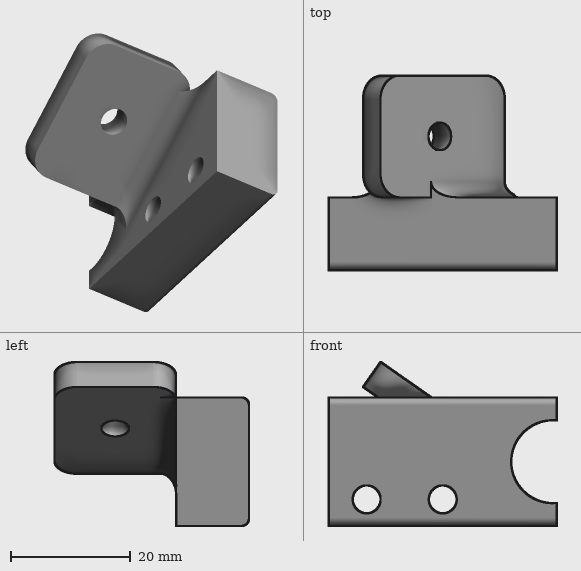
import cadquery as cq
import math

block_length = 38.1
block_depth = 12.2
block_height = 21.5
front_edge_radius = 1.35

hole_diameter = 4.6
hole_height = 4.45
hole_positions = (6.35, 19.05)
notch_radius = 6.9
notch_center_x = 37.38

total_depth = 32.5
total_height = 27.4
plate_width = total_depth - block_depth
plate_angle = 35.0
plate_length = 25.3
plate_thickness = 5.1
plate_corner_radius = 3.85
plate_top_x = 8.7
plate_hole_distance = 12.08
root_radius = 2.5

slope = math.radians(plate_angle)
plate_plane = cq.Plane(
    origin=(plate_top_x, block_depth, total_height),
    xDir=(math.cos(slope), 0, -math.sin(slope)),
    normal=(math.sin(slope), 0, math.cos(slope)),
)


def box(length, depth, height):
    return cq.Workplane("XY").box(length, depth, height, centered=False)


def make_block():
    return box(block_length, block_depth, block_height).edges("|X and <Y").fillet(front_edge_radius)


def make_plate_blank():
    return (
        cq.Workplane(plate_plane)
        .rect(plate_length, plate_width, centered=False)
        .extrude(-plate_thickness)
    )


def make_plate():
    """Round every corner except the lower one that joins the block."""
    middle = (plate_length / 2, plate_width / 2)
    rounded = (
        cq.Workplane(plate_plane)
        .center(*middle)
        .rect(plate_length, plate_width)
        .extrude(-plate_thickness)
        .edges(cq.selectors.ParallelDirSelector(plate_plane.zDir))
        .fillet(plate_corner_radius)
    )
    square_corner = (
        cq.Workplane(plate_plane)
        .center(plate_length - plate_corner_radius, 0)
        .rect(plate_corner_radius, plate_corner_radius, centered=False)
        .extrude(-plate_thickness)
    )
    return rounded.union(square_corner)


def make_root():
    """Fillet the plate against an extended wall, then trim it level with the block top."""
    wall_height = 2 * block_height
    wall = box(block_length, block_depth, wall_height)
    root = wall.union(make_plate_blank())
    margin = front_edge_radius / 2
    wall_edges = cq.selectors.BoxSelector(
        (margin, block_depth - margin, margin),
        (block_length - margin, block_depth + margin, wall_height - margin),
    )
    filleted = root.edges(wall_edges).fillet(root_radius)
    envelope = box(block_length, root_radius, block_height).translate((0, block_depth, 0))
    return filleted.intersect(envelope)


def make_through_cuts():
    """The holes and the notch run in Y through the block and the plate root behind it."""
    cut_depth = block_depth + root_radius
    hole_centers = [(x, hole_height) for x in hole_positions]
    holes = (
        cq.Workplane("XZ")
        .pushPoints(hole_centers)
        .circle(hole_diameter / 2)
        .extrude(-cut_depth)
    )
    notch = (
        cq.Workplane("XZ")
        .center(notch_center_x, block_height / 2)
        .circle(notch_radius)
        .extrude(-cut_depth)
    )
    return holes.union(notch)


def make_plate_hole():
    return (
        cq.Workplane(plate_plane)
        .center(plate_hole_distance, plate_width / 2)
        .circle(hole_diameter / 2)
        .extrude(-plate_thickness)
    )


plate = make_plate().cut(make_plate_hole())
body = make_block().union(plate).union(make_root())
result = body.cut(make_through_cuts())